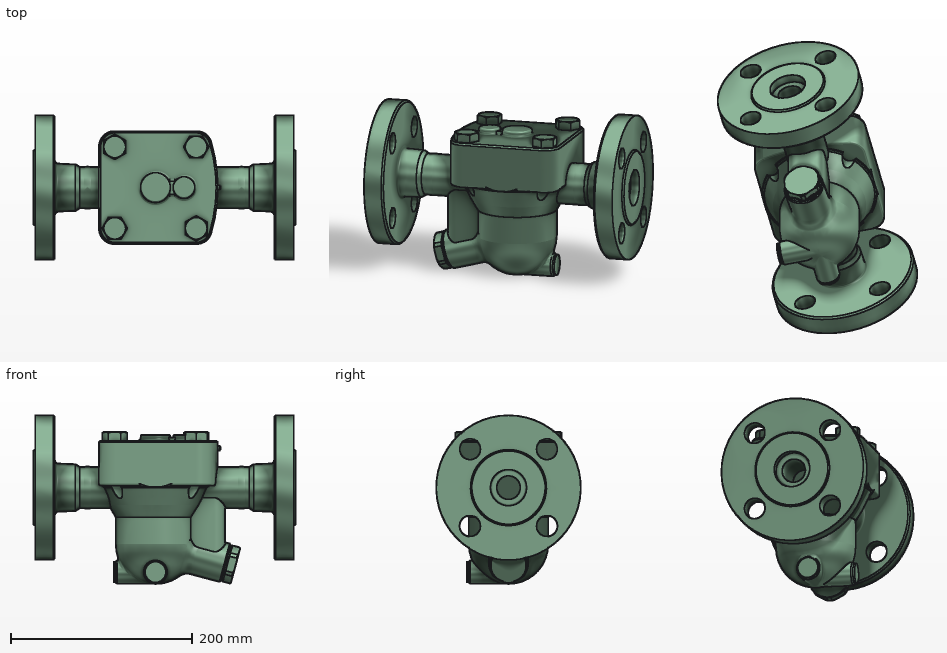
import math

import cadquery as cq


FACE_TO_FACE = 290.0
FLANGE_DIA = 160.0
FLANGE_THICKNESS = 22.0
FLANGE_CHAMFER = 2.0
RAISED_FACE_DIA = 81.0
RAISED_FACE_BASE_DIA = 84.0
RAISED_FACE_HEIGHT = 2.0
FLANGE_HOLE_DIA = 23.0
FLANGE_HOLE_CIRCLE_DIA = 120.0
FLANGE_HOLE_COUNT = 4
FLANGE_HOLE_START_ANGLE = 45.0
HUB_ROOT_FILLET = 3.5
HUB_BIG_DIA = 53.5
HUB_SMALL_DIA = 52.0
HUB_LENGTH = 19.0
HUB_NECK_LENGTH = 4.8
PIPE_DIA = 46.0
WELD_OFFSET = 4.8
WELD_WIDTH = 7.6
WELD_HEIGHT = 0.4
PORT_DIA = 26.0
PORT_COUNTERBORE_DIA = 40.0
PORT_COUNTERBORE_DEPTH = 10.0

BODY_X = -10.0
BOLT_PITCH = 90.0
CORNER_RADIUS = 17.5
NOSE_X = 59.0
NOSE_DRAFT = 1.7
JOINT_Z = 30.0
COVER_TOP_Z = 52.0
BODY_FLANGE_BOTTOM_Z = 2.0
COVER_EDGE_CHAMFER = 2.0
BODY_FLANGE_FILLET = 2.5

BOLT_HEX_FLATS = 24.0
BOLT_HEAD_HEIGHT = 9.5
HEX_CHAMFER_ANGLE = 30.0
BOLT_TURN = 30.0

LARGE_DISC_DIA = 33.0
SMALL_DISC_DIA = 24.0
DISC_SPACING = 31.5
DISC_HEIGHT = 6.2
DISC_TOP_FILLET = 1.8
DISC_ROOT_FILLET = 2.8
BRIDGE_WIDTH = 14.5
BRIDGE_HEIGHT = 3.4
PIN_DIA = 5.0
PIN_TIP_X = 62.0
PIN_Z = 43.5
PIN_CHAMFER = 1.2

BOWL_RADIUS = 44.0
BOWL_CENTRE_Z = -62.5
SHOULDER_BOTTOM_Z = -32.5
SHOULDER_SEAM_Z = -19.4
SHOULDER_SEAM_RADIUS = 51.5
SHOULDER_TOP_RADIUS = 61.0
FLARE_MID_RADIUS = 63.0
FLARE_MID_Z = 1.2
FLARE_TOP_RADIUS = 65.0
FLARE_TOP_Z = 4.5
NOTCH_DIA = 17.0

ARM_HALF_WIDTH = 20.2
ARM_END_X = 67.0
ARM_FILLET = 12.5
ARM_TOP_Z = -5.0

BRANCH_ANGLE = 15.0
BRANCH_RADIUS = 22.0
BRANCH_LENGTH = 80.5
BRANCH_CHAMFER = 1.5
BRANCH_ROOT_FILLET = 15.0
GASKET_RADIUS = 18.0
GASKET_THICKNESS = 2.0
PLUG_HEX_FLATS = 38.0
PLUG_DIA = 41.5
PLUG_HEIGHT = 9.2
PLUG_CHAMFER = 1.2

DRAIN_DIA = 26.0
DRAIN_TIP_DIA = 23.0
DRAIN_Z = -93.3
DRAIN_REACH = 46.0
DRAIN_STEP = 2.0
DRAIN_ROOT_FILLET = 3.5


def joint_outline(z, nose_x):
    """Rounded square at height z whose +X side is an arc bulging to nose_x."""
    half = BOLT_PITCH / 2
    left = BODY_X - half - CORNER_RADIUS
    corner_x = BODY_X + half
    side_y = half + CORNER_RADIUS
    reach = NOSE_X - corner_x
    nose_radius = (half**2 + reach**2 - CORNER_RADIUS**2) / (2 * (reach - CORNER_RADIUS))
    tangent = math.atan2(half, corner_x - NOSE_X + nose_radius)
    blend = (math.pi / 2 + tangent) / 2
    diagonal = CORNER_RADIUS * math.sqrt(0.5)

    def on_corner(angle):
        return (corner_x + CORNER_RADIUS * math.cos(angle), half + CORNER_RADIUS * math.sin(angle))

    tangent_x, tangent_y = on_corner(tangent)
    blend_x, blend_y = on_corner(blend)
    left_x = BODY_X - half
    return (
        cq.Workplane("XY", origin=(0, 0, z))
        .moveTo(left_x, -side_y)
        .lineTo(corner_x, -side_y)
        .threePointArc((blend_x, -blend_y), (tangent_x, -tangent_y))
        .threePointArc((nose_x, 0), (tangent_x, tangent_y))
        .threePointArc((blend_x, blend_y), (corner_x, side_y))
        .lineTo(left_x, side_y)
        .threePointArc((left_x - diagonal, half + diagonal), (left, half))
        .lineTo(left, -half)
        .threePointArc((left_x - diagonal, -half - diagonal), (left_x, -side_y))
        .close()
    )


def arc_inset(radius):
    """Offset of a quarter-arc's midpoint from the two lines it is tangent to."""
    return radius * (1 - math.sqrt(0.5))


def hex_corner_radius(flats):
    return flats / 2 / math.cos(math.pi / 6)


def hex_prism(plane, flats, height):
    return cq.Workplane(plane).polygon(6, 2 * hex_corner_radius(flats)).extrude(height)


def pipe_end():
    """The -X pipe end, revolved about X, from raised face to the body centre."""
    face = -FACE_TO_FACE / 2
    flange_front = face + RAISED_FACE_HEIGHT
    flange_back = flange_front + FLANGE_THICKNESS
    hub_start = flange_back + HUB_ROOT_FILLET
    hub_end = hub_start + HUB_LENGTH
    neck_end = hub_end + HUB_NECK_LENGTH
    weld_start = neck_end + WELD_OFFSET
    weld_end = weld_start + WELD_WIDTH
    flange_radius = FLANGE_DIA / 2
    hub_radius = HUB_BIG_DIA / 2
    pipe_radius = PIPE_DIA / 2
    fillet_inset = arc_inset(HUB_ROOT_FILLET)
    solid = (
        cq.Workplane("XZ")
        .moveTo(face, 0)
        .lineTo(face, RAISED_FACE_DIA / 2)
        .lineTo(flange_front, RAISED_FACE_BASE_DIA / 2)
        .lineTo(flange_front, flange_radius)
        .lineTo(flange_back - FLANGE_CHAMFER, flange_radius)
        .lineTo(flange_back, flange_radius - FLANGE_CHAMFER)
        .lineTo(flange_back, hub_radius + HUB_ROOT_FILLET)
        .threePointArc((flange_back + fillet_inset, hub_radius + fillet_inset), (hub_start, hub_radius))
        .lineTo(hub_end, HUB_SMALL_DIA / 2)
        .lineTo(neck_end, pipe_radius)
        .lineTo(weld_start, pipe_radius)
        .threePointArc(((weld_start + weld_end) / 2, pipe_radius + WELD_HEIGHT), (weld_end, pipe_radius))
        .lineTo(BODY_X, pipe_radius)
        .lineTo(BODY_X, 0)
        .close()
        .revolve(360, (0, 0, 0), (1, 0, 0))
    )
    holes = (
        cq.Workplane("YZ", origin=(face, 0, 0))
        .polarArray(FLANGE_HOLE_CIRCLE_DIA / 2, FLANGE_HOLE_START_ANGLE, 360, FLANGE_HOLE_COUNT)
        .circle(FLANGE_HOLE_DIA / 2)
        .extrude(RAISED_FACE_HEIGHT + FLANGE_THICKNESS)
    )
    return solid.cut(holes)


def port_bore():
    """Counterbored blind port of the -X end, reaching to the square joint."""
    face = -FACE_TO_FACE / 2
    depth = BODY_X - BOLT_PITCH / 2 - CORNER_RADIUS - face
    start = cq.Workplane("YZ", origin=(face, 0, 0))
    bore = start.circle(PORT_DIA / 2).extrude(depth)
    return bore.union(start.circle(PORT_COUNTERBORE_DIA / 2).extrude(PORT_COUNTERBORE_DEPTH))


def both_ends(shape):
    return shape.union(shape.mirror("YZ"))


def cover():
    plate = joint_outline(JOINT_Z, NOSE_X).extrude(COVER_TOP_Z - JOINT_Z)
    return plate.faces(">Z").edges().chamfer(COVER_EDGE_CHAMFER)


def body_flange():
    """Lower half of the joint; its nose is drafted towards the bottom."""
    top = joint_outline(JOINT_Z, NOSE_X).wires().val()
    bottom = joint_outline(BODY_FLANGE_BOTTOM_Z, NOSE_X - NOSE_DRAFT).wires().val()
    plate = cq.Workplane(cq.Solid.makeLoft([bottom, top], True))
    return plate.faces("<Z").edges().fillet(BODY_FLANGE_FILLET)


def bolt_head(x, y, turn):
    """Hexagon head with its top corners bevelled by a cone."""
    head = hex_prism("XY", BOLT_HEX_FLATS, BOLT_HEAD_HEIGHT)
    corner_radius = hex_corner_radius(BOLT_HEX_FLATS)
    drop = (corner_radius - BOLT_HEX_FLATS / 2) * math.tan(math.radians(HEX_CHAMFER_ANGLE))
    rounding = (
        cq.Workplane("XZ")
        .moveTo(0, 0)
        .lineTo(corner_radius, 0)
        .lineTo(corner_radius, BOLT_HEAD_HEIGHT - drop)
        .lineTo(BOLT_HEX_FLATS / 2, BOLT_HEAD_HEIGHT)
        .lineTo(0, BOLT_HEAD_HEIGHT)
        .close()
        .revolve(360, (0, 0, 0), (0, 1, 0))
    )
    head = head.intersect(rounding).rotate((0, 0, 0), (0, 0, 1), turn)
    return head.translate((x, y, COVER_TOP_Z))


def bolt_heads():
    """Four heads; neighbours are turned relative to each other."""
    heads = cq.Workplane("XY")
    for side_x in (-1, 1):
        for side_y in (-1, 1):
            turn = 0 if side_x == side_y else BOLT_TURN
            x = BODY_X + side_x * BOLT_PITCH / 2
            heads = heads.union(bolt_head(x, side_y * BOLT_PITCH / 2, turn))
    return heads


def raised_disc(x, diameter):
    """Disc on the cover with a rounded top edge and a filleted root."""
    radius = diameter / 2
    root_inset = arc_inset(DISC_ROOT_FILLET)
    top_inset = arc_inset(DISC_TOP_FILLET)
    return (
        cq.Workplane("XZ", origin=(x, 0, COVER_TOP_Z))
        .lineTo(radius + DISC_ROOT_FILLET, 0)
        .threePointArc((radius + root_inset, root_inset), (radius, DISC_ROOT_FILLET))
        .lineTo(radius, DISC_HEIGHT - DISC_TOP_FILLET)
        .threePointArc((radius - top_inset, DISC_HEIGHT - top_inset), (radius - DISC_TOP_FILLET, DISC_HEIGHT))
        .lineTo(0, DISC_HEIGHT)
        .close()
        .revolve(360, (0, 0, 0), (0, 1, 0))
    )


def disc_bridge():
    """Low bar with filleted roots joining the two discs."""
    half = BRIDGE_WIDTH / 2
    inset = arc_inset(DISC_ROOT_FILLET)
    return (
        cq.Workplane("YZ", origin=(BODY_X, 0, COVER_TOP_Z))
        .moveTo(-half - DISC_ROOT_FILLET, 0)
        .threePointArc((-half - inset, inset), (-half, DISC_ROOT_FILLET))
        .lineTo(-half, BRIDGE_HEIGHT)
        .lineTo(half, BRIDGE_HEIGHT)
        .lineTo(half, DISC_ROOT_FILLET)
        .threePointArc((half + inset, inset), (half + DISC_ROOT_FILLET, 0))
        .close()
        .extrude(DISC_SPACING)
    )


def tag_pin():
    start_x = BODY_X + BOLT_PITCH / 2
    pin = cq.Workplane("YZ", origin=(start_x, 0, PIN_Z)).circle(PIN_DIA / 2).extrude(PIN_TIP_X - start_x)
    return pin.faces(">X").edges().chamfer(PIN_CHAMFER)


def bowl():
    """Shoulder cone, cylinder and hemispherical bottom, revolved about the vertical body axis."""
    diagonal = BOWL_RADIUS * math.sqrt(0.5)
    return (
        cq.Workplane("XZ", origin=(BODY_X, 0, 0))
        .moveTo(0, BOWL_CENTRE_Z - BOWL_RADIUS)
        .threePointArc((diagonal, BOWL_CENTRE_Z - diagonal), (BOWL_RADIUS, BOWL_CENTRE_Z))
        .lineTo(BOWL_RADIUS, SHOULDER_BOTTOM_Z)
        .lineTo(SHOULDER_SEAM_RADIUS, SHOULDER_SEAM_Z)
        .lineTo(SHOULDER_TOP_RADIUS, 0)
        .lineTo(FLARE_MID_RADIUS, FLARE_MID_Z)
        .lineTo(FLARE_TOP_RADIUS, FLARE_TOP_Z)
        .lineTo(0, FLARE_TOP_Z)
        .close()
        .revolve(360, (0, 0, 0), (0, 1, 0))
    )


def trimmed_bowl():
    """Bowl kept inside the joint outline and relieved below the four bolts."""
    shape = bowl()
    bottom_z = BOWL_CENTRE_Z - BOWL_RADIUS
    shape = shape.intersect(joint_outline(bottom_z, NOSE_X - NOSE_DRAFT).extrude(FLARE_TOP_Z - bottom_z))
    notches = (
        cq.Workplane("XY", origin=(BODY_X, 0, SHOULDER_BOTTOM_Z))
        .rect(BOLT_PITCH, BOLT_PITCH, forConstruction=True)
        .vertices()
        .circle(NOTCH_DIA / 2)
        .extrude(BODY_FLANGE_BOTTOM_Z - SHOULDER_BOTTOM_Z)
    )
    return shape.cut(notches)


def outlet_arm():
    """Upright arm whose foot follows the branch axis."""
    foot_z = BOWL_CENTRE_Z - (ARM_END_X - BODY_X) * math.tan(math.radians(BRANCH_ANGLE))
    arm = (
        cq.Workplane("XZ", origin=(0, ARM_HALF_WIDTH, 0))
        .moveTo(BODY_X, ARM_TOP_Z)
        .lineTo(ARM_END_X, ARM_TOP_Z)
        .lineTo(ARM_END_X, foot_z)
        .lineTo(BODY_X, BOWL_CENTRE_Z)
        .close()
        .extrude(2 * ARM_HALF_WIDTH)
    )
    return arm.edges("|Z and >X").fillet(ARM_FILLET)


def inclined_branch():
    """Branch from the bowl centre with a root fillet tangent to the bowl, then gasket and plug."""
    centre_r = BRANCH_RADIUS + BRANCH_ROOT_FILLET
    centre_x = math.sqrt((BOWL_RADIUS + BRANCH_ROOT_FILLET) ** 2 - centre_r**2)
    touch = BOWL_RADIUS / (BOWL_RADIUS + BRANCH_ROOT_FILLET)
    mid_angle = (math.atan2(-centre_r, -centre_x) - math.pi / 2) / 2
    mid_x = centre_x + BRANCH_ROOT_FILLET * math.cos(mid_angle)
    mid_r = centre_r + BRANCH_ROOT_FILLET * math.sin(mid_angle)
    gasket_end = BRANCH_LENGTH + GASKET_THICKNESS
    branch = (
        cq.Workplane("XY")
        .lineTo(0, centre_r * touch)
        .lineTo(centre_x * touch, centre_r * touch)
        .threePointArc((mid_x, mid_r), (centre_x, BRANCH_RADIUS))
        .lineTo(BRANCH_LENGTH - BRANCH_CHAMFER, BRANCH_RADIUS)
        .lineTo(BRANCH_LENGTH, BRANCH_RADIUS - BRANCH_CHAMFER)
        .lineTo(BRANCH_LENGTH, GASKET_RADIUS)
        .lineTo(gasket_end, GASKET_RADIUS)
        .lineTo(gasket_end, 0)
        .close()
        .revolve(360, (0, 0, 0), (1, 0, 0))
    )
    plug = hex_prism("YZ", PLUG_HEX_FLATS, PLUG_HEIGHT).rotate((0, 0, 0), (1, 0, 0), 90)
    trim = cq.Workplane("YZ").circle(PLUG_DIA / 2).extrude(PLUG_HEIGHT)
    plug = plug.intersect(trim.faces(">X").edges().chamfer(PLUG_CHAMFER))
    branch = branch.union(plug.translate((gasket_end, 0, 0)))
    branch = branch.rotate((0, 0, 0), (0, 1, 0), BRANCH_ANGLE)
    return branch.translate((BODY_X, 0, BOWL_CENTRE_Z))


def drain_boss():
    """Stepped boss pointing to -X from the body axis."""
    shoulder = DRAIN_REACH - 2 * DRAIN_STEP
    return (
        cq.Workplane("XY", origin=(BODY_X, 0, DRAIN_Z))
        .lineTo(0, DRAIN_DIA / 2)
        .lineTo(-shoulder, DRAIN_DIA / 2)
        .lineTo(-shoulder - DRAIN_STEP, DRAIN_TIP_DIA / 2)
        .lineTo(-DRAIN_REACH, DRAIN_TIP_DIA / 2)
        .lineTo(-DRAIN_REACH, 0)
        .close()
        .revolve(360, (0, 0, 0), (1, 0, 0))
    )


def bowl_with_drains():
    """Bowl with two drain bosses; the root of the -X boss is filleted."""
    shape = trimmed_bowl().union(drain_boss())
    root = cq.selectors.BoxSelector(
        (BODY_X - BOWL_RADIUS, -DRAIN_DIA, BOWL_CENTRE_Z - BOWL_RADIUS),
        (BODY_X, DRAIN_DIA, DRAIN_Z + DRAIN_DIA),
    )
    shape = shape.edges(root).edges("%BSPLINE").fillet(DRAIN_ROOT_FILLET)
    return shape.union(drain_boss().rotate((BODY_X, 0, 0), (BODY_X, 0, 1), 90))


def cover_assembly():
    """Cover with its bolts, raised discs and tag pin."""
    return (
        cover()
        .union(bolt_heads())
        .union(raised_disc(BODY_X, LARGE_DISC_DIA))
        .union(raised_disc(BODY_X + DISC_SPACING, SMALL_DISC_DIA))
        .union(disc_bridge())
        .union(tag_pin())
    )


trap_body = (
    bowl_with_drains()
    .union(outlet_arm())
    .union(inclined_branch())
    .union(body_flange())
    .union(both_ends(pipe_end()))
    .cut(both_ends(port_bore()))
)

result = trap_body.union(cover_assembly(), clean=False)